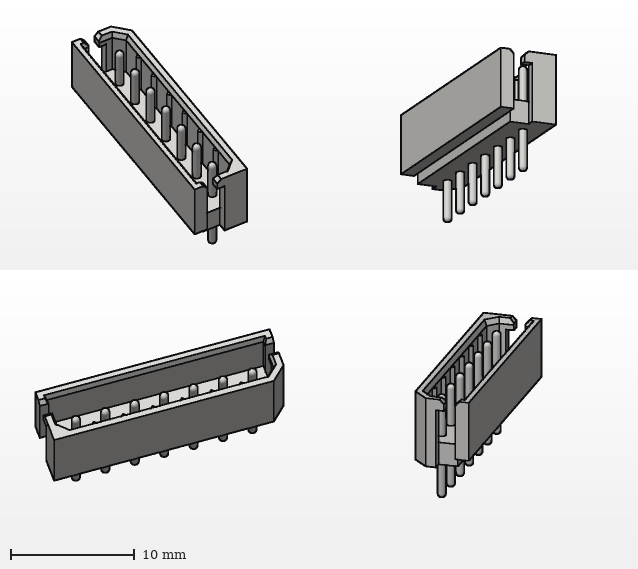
import cadquery as cq
import math

length = 19.9
depth = 4.9
height = 5.91
corner_chamfer = 1.23
front_step_height = 0.9

floor_height = 1.91
rim_end_wall = 0.55
rim_front_wall = 0.5
rim_back_wall = 0.54
rim_corner_leg = 0.94
lead_in_inset = 0.2
lead_in_height = 0.5
end_wall = rim_end_wall + lead_in_inset
inner_back_y = depth - rim_back_wall - lead_in_inset
lead_in_z = height - lead_in_height

slot_front_y = 1.15
slot_back_y = 2.79
hook_tip_y = 2.1
hook_height = 0.95
jaw_chamfer = 0.35

pin_count = 7
pin_span = 15.0
pin_pitch = pin_span / (pin_count - 1)
pin_first_x = (length - pin_span) / 2
pin_y = 3.05
pin_diameter = 0.7
pin_radius = pin_diameter / 2
pin_end_round = 0.34
pin_bottom_z = -3.48
pin_length = 8.9

rib_projection = 0.3
rib_half_width = 0.3

pin_positions = [pin_first_x + i * pin_pitch for i in range(pin_count)]


def shell_block():
    """Outer block with the keying chamfer and the step under the front wall."""
    block = cq.Workplane("XY").box(length, depth, height, centered=False)
    block = block.edges("|Z and <X and >Y").chamfer(corner_chamfer)
    step = cq.Workplane("XY").box(length, slot_front_y, front_step_height, centered=False)
    return block.cut(step)


def cavity_outline(z, inset):
    """Closed cavity outline at height z, moved inward from the rim by inset."""
    left = rim_end_wall + inset
    right = length - left
    front = rim_front_wall + inset
    back = depth - rim_back_wall - inset
    leg = rim_corner_leg - inset * (2 - math.sqrt(2))
    return (
        cq.Workplane("XY", origin=(0, 0, z))
        .moveTo(left, front)
        .lineTo(right, front)
        .lineTo(right, back - leg)
        .lineTo(right - leg, back)
        .lineTo(left + leg, back)
        .lineTo(left, back - leg)
        .close()
    )


def cavity():
    """Straight-walled cavity below a sloping lead-in."""
    straight = cavity_outline(floor_height, lead_in_inset).extrude(lead_in_z - floor_height)
    lower_wire = cavity_outline(lead_in_z, lead_in_inset).wires().val()
    rim_wire = cavity_outline(height, 0).wires().val()
    lead_in = cq.Solid.makeLoft([lower_wire, rim_wire], True)
    return straight.union(cq.Workplane(lead_in))


def end_slot(x):
    """Slot through the end wall that starts at x, leaving the hook at its top."""
    hook_bottom_z = height - hook_height
    return (
        cq.Workplane("YZ", origin=(x, 0, 0))
        .moveTo(slot_front_y, 0)
        .lineTo(slot_back_y, 0)
        .lineTo(slot_back_y, hook_bottom_z)
        .lineTo(hook_tip_y, hook_bottom_z)
        .lineTo(hook_tip_y, height - jaw_chamfer)
        .lineTo(hook_tip_y + jaw_chamfer, height)
        .lineTo(slot_front_y - jaw_chamfer, height)
        .lineTo(slot_front_y, height - jaw_chamfer)
        .close()
        .extrude(end_wall)
    )


def rib(x):
    """V-shaped rib centred at x, from the cavity floor up to the lead-in."""
    return (
        cq.Workplane("XY", origin=(x, inner_back_y, floor_height))
        .moveTo(-rib_half_width, 0)
        .lineTo(0, -rib_projection)
        .lineTo(rib_half_width, 0)
        .close()
        .extrude(lead_in_z - floor_height)
    )


def pin(x):
    """Round pin with both ends rounded to a small flat."""
    blank = cq.Workplane("XY", origin=(x, pin_y, pin_bottom_z)).circle(pin_radius).extrude(pin_length)
    return blank.faces("|Z").edges().fillet(pin_end_round)


def make_housing():
    """Open-topped shell with end slots, ribs and a hole for each pin."""
    body = shell_block().cut(cavity())
    for slot_x in (0, length - end_wall):
        body = body.cut(end_slot(slot_x))
    for left_pin_x in pin_positions[:-1]:
        body = body.union(rib(left_pin_x + pin_pitch / 2))
    pin_holes = (
        cq.Workplane("XY")
        .pushPoints([(x, pin_y) for x in pin_positions])
        .circle(pin_radius)
        .extrude(floor_height)
    )
    return body.cut(pin_holes)


housing = make_housing()
pins = [pin(x).val() for x in pin_positions]

result = cq.Compound.makeCompound([housing.val(), *pins])